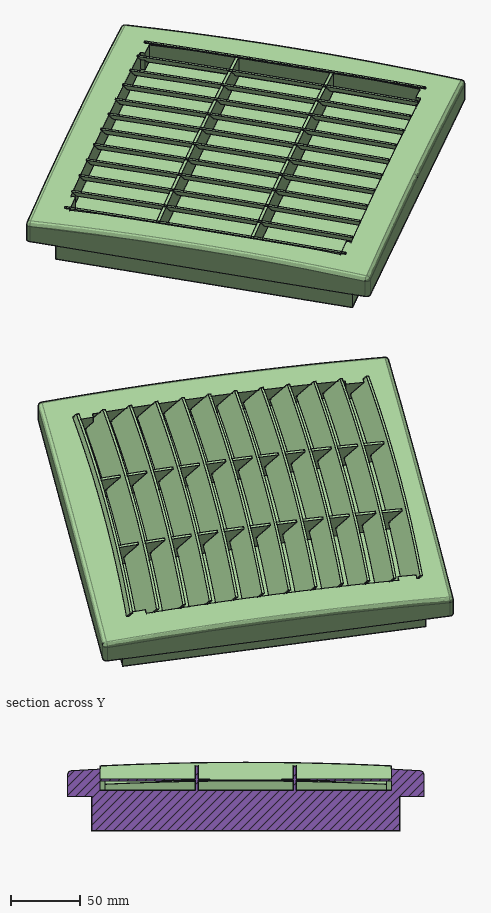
import cadquery as cq
import math


cover_side = 257.0
skirt_side = 222.0
skirt_height = 24.7
edge_radius = 3.0

dome_radius = 2056.0
dome_top = 48.8

recess_floor = 29.3
recess_width = 209.7
recess_end_width = 202.5
recess_back_y = 103.5
recess_front_y = -108.5
recess_wide_length = 185.0

mullion_spacing = 70.7
mullion_width = 2.3

slat_count = 12
slat_pitch = 19.3
slat_width = 1.8
slat_top = 51.5
slat_rise = 13.0
middle_slat_y = -5.5

recess_length = recess_back_y - recess_front_y
recess_centre_y = (recess_back_y + recess_front_y) / 2


def dome(top):
    """Ball whose highest point lies on the Z axis at the given height."""
    return cq.Workplane("XY").sphere(dome_radius).translate((0, 0, top - dome_radius))


def block(size_x, size_y, bottom, top):
    """Box centred on the Z axis, between two heights."""
    return cq.Workplane("XY").workplane(offset=bottom).rect(size_x, size_y).extrude(top - bottom)


def make_body():
    """Rounded, domed cover standing on the narrower skirt."""
    cover = block(cover_side, cover_side, skirt_height, slat_top)
    cover = cover.edges("|Z").fillet(edge_radius)
    cover = cover.intersect(dome(dome_top))
    cover = cover.faces(">Z").edges().fillet(edge_radius)
    return cover.union(block(skirt_side, skirt_side, 0, skirt_height))


def make_recess():
    """Cross-shaped pocket: full width in the middle, stepped in at both ends."""
    ends = block(recess_end_width, recess_length, recess_floor, slat_top)
    ends = ends.translate((0, recess_centre_y, 0))
    middle = block(recess_width, recess_wide_length, recess_floor, slat_top)
    return ends.union(middle)


def make_mullions():
    """Two ribs along Y, from the recess floor up to the dome."""
    rib = block(mullion_width, recess_length, recess_floor, slat_top)
    ribs = cq.Workplane("XY")
    for side in (-1, 1):
        ribs = ribs.union(rib.translate((side * mullion_spacing / 2, recess_centre_y, 0)))
    return ribs.intersect(dome(dome_top))


def make_slat(y):
    """One untrimmed slat whose centre plane meets the upper trimming surface at Y, on X = 0."""
    drop_of_dome = dome_radius - math.sqrt(dome_radius**2 - y**2)
    lean = slat_top - recess_floor
    return (
        cq.Workplane("YZ")
        .moveTo(y - drop_of_dome - slat_width / 2, slat_top)
        .line(slat_width, 0)
        .line(lean, -lean)
        .line(-slat_width, 0)
        .close()
        .extrude(recess_width / 2, both=True)
    )


result = make_body().cut(make_recess()).union(make_mullions())

slat_envelope = dome(slat_top).cut(dome(slat_top - slat_rise))
for index in range(slat_count):
    slat_y = middle_slat_y + (index - (slat_count - 1) / 2) * slat_pitch
    result = result.union(make_slat(slat_y).intersect(slat_envelope))